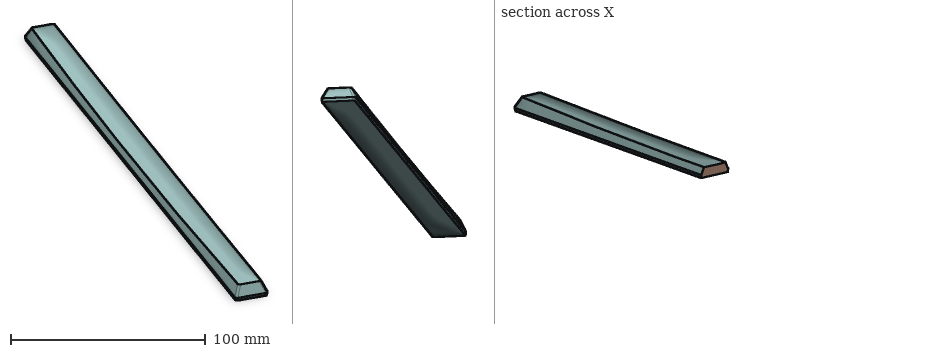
import cadquery as cq

LENGTH = 308.5
WIDTH = 17.99
HEIGHT = 7.69

RIM_HEIGHT = 1.8
FOOT_INSET = 0.4
SIDE_INSET = 2.7
END_INSET = 3.0
CORNER_RADIUS = 1.2

TOP_DIP = 2.1
TOP_LENGTH = LENGTH - 2 * END_INSET


def rounded_plan(z, end_inset, side_inset):
    """Plan outline at height z: the rim rectangle drawn in by the insets, with rounded corners."""
    plan = cq.Sketch().rect(LENGTH - 2 * end_inset, WIDTH - 2 * side_inset)
    return plan.vertices().fillet(CORNER_RADIUS).moved(cq.Location(cq.Vector(0, 0, z)))


def make_blank():
    """Foot and tapered body, meeting at the rim."""
    bottom = rounded_plan(0, FOOT_INSET, FOOT_INSET)
    rim = rounded_plan(RIM_HEIGHT, 0, 0)
    top = rounded_plan(HEIGHT, END_INSET, SIDE_INSET)
    foot = cq.Workplane("XY").placeSketch(bottom, rim).loft(ruled=True)
    body = cq.Workplane("XY").placeSketch(rim, top).loft(ruled=True)
    return foot.union(body)


def make_hollow():
    """Cutter whose lower face is a shallow arc between the two top end edges."""
    half_length = TOP_LENGTH / 2
    return (
        cq.Workplane("XZ")
        .moveTo(-half_length, HEIGHT)
        .threePointArc((0, HEIGHT - TOP_DIP), (half_length, HEIGHT))
        .close()
        .extrude(WIDTH / 2, both=True)
    )


result = make_blank().cut(make_hollow())